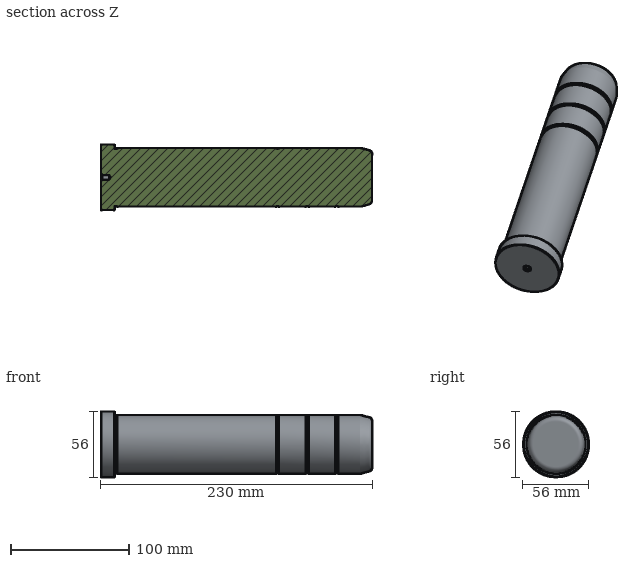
import cadquery as cq
import math

length = 230.0
head_diameter = 56.0
head_length = 12.0
head_chamfer = 0.7
face_edge_break = 0.5
shaft_radius = 25.0

relief_radius = shaft_radius - 0.7
relief_floor_end = head_length + 1.4
relief_end = relief_floor_end + 0.7

groove_count = 3
first_groove_x = 149.7
groove_pitch = 25.0
groove_width = 2.8
groove_depth = 0.7

taper_start = 219.9
taper_angle = 15.0
nose_radius = 4.0

centre_mouth_diameter = 6.5
centre_bore_diameter = 3.7
centre_bore_depth = 7.0
centre_tip_angle = 118.0

tip_radius = shaft_radius - (length - taper_start) * math.tan(math.radians(taper_angle))


def make_pin():
    """Revolve the head, relief, shaft and tapered nose about the X axis."""
    head_radius = head_diameter / 2
    pin = (
        cq.Workplane("XY")
        .moveTo(0, 0)
        .lineTo(0, head_radius - face_edge_break)
        .lineTo(face_edge_break, head_radius)
        .lineTo(head_length - head_chamfer, head_radius)
        .lineTo(head_length, head_radius - head_chamfer)
        .lineTo(head_length, relief_radius)
        .lineTo(relief_floor_end, relief_radius)
        .lineTo(relief_end, shaft_radius)
        .lineTo(taper_start, shaft_radius)
        .lineTo(length, tip_radius)
        .lineTo(length, 0)
        .close()
        .revolve(360, (0, 0, 0), (1, 0, 0))
    )
    return pin.faces(">X").edges().fillet(nose_radius)


def make_groove(center_x):
    """Ring with a shallow V-shaped section to be cut from the shaft."""
    half_width = groove_width / 2
    outside_radius = shaft_radius + groove_depth
    return (
        cq.Workplane("XY")
        .moveTo(center_x - half_width, outside_radius)
        .lineTo(center_x - half_width, shaft_radius)
        .lineTo(center_x, shaft_radius - groove_depth)
        .lineTo(center_x + half_width, shaft_radius)
        .lineTo(center_x + half_width, outside_radius)
        .close()
        .revolve(360, (0, 0, 0), (1, 0, 0))
    )


def make_centre_hole():
    """Countersunk blind hole with a conical drill tip, along X."""
    mouth_radius = centre_mouth_diameter / 2
    bore_radius = centre_bore_diameter / 2
    sink_depth = mouth_radius - bore_radius
    tip_depth = bore_radius / math.tan(math.radians(centre_tip_angle / 2))
    return (
        cq.Workplane("XY")
        .moveTo(0, 0)
        .lineTo(0, mouth_radius)
        .lineTo(sink_depth, bore_radius)
        .lineTo(centre_bore_depth, bore_radius)
        .lineTo(centre_bore_depth + tip_depth, 0)
        .close()
        .revolve(360, (0, 0, 0), (1, 0, 0))
    )


result = make_pin()
for groove_index in range(groove_count):
    result = result.cut(make_groove(first_groove_x + groove_index * groove_pitch))
result = result.cut(make_centre_hole())